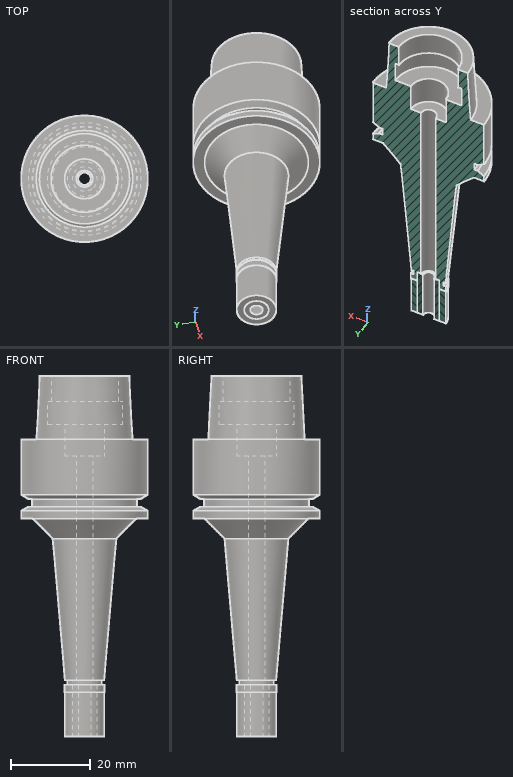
import cadquery as cq

OVERALL_LENGTH = 91.0

SHANK_LENGTH = 16.0
SHANK_ROOT_RADIUS = 12.2
SHANK_TOP_RADIUS = 11.4

FLANGE_RADIUS = 16.0
FLANGE_HEIGHT = 20.0
GROOVE_CENTRE_Z = -16.0
GROOVE_MOUTH_WIDTH = 4.1
GROOVE_FLOOR_WIDTH = 1.9
GROOVE_LIP_RADIUS = 14.2
GROOVE_FLOOR_RADIUS = 13.3

SHOULDER_HEIGHT = 5.0
NECK_TOP_RADIUS = 8.1
NECK_END_RADIUS = 5.0
NECK_END_Z = -60.8
SHOULDER_TOP_RADIUS = NECK_TOP_RADIUS + SHOULDER_HEIGHT

RELIEF_RADIUS = 4.4
RELIEF_WIDTH = 1.1
COLLAR_RADIUS = 5.1
COLLAR_WIDTH = 1.9
COLLAR_TOP_Z = NECK_END_Z - RELIEF_WIDTH

NUT_RADIUS = 5.0
NUT_TOP_Z = COLLAR_TOP_Z - COLLAR_WIDTH
TIP_Z = SHANK_LENGTH - OVERALL_LENGTH

MOUTH_RADIUS = 8.5
MOUTH_DEPTH = 6.5
CHAMBER_RADIUS = 9.5
CHAMBER_DEPTH = 5.7
COUPLING_RADIUS = 5.0
COUPLING_DEPTH = 8.0
COOLANT_RADIUS = 2.1

COLLET_RADIUS = 3.1
COLLET_BORE_RADIUS = 1.55
COLLET_TOP_Z = NECK_END_Z


def cylinder(radius, bottom_z, top_z):
    """Solid cylinder on the Z axis."""
    return cq.Workplane("XY").workplane(offset=bottom_z).circle(radius).extrude(top_z - bottom_z)


def tube(outer_radius, inner_radius, bottom_z, top_z):
    """Hollow cylinder on the Z axis."""
    return cylinder(outer_radius, bottom_z, top_z).cut(cylinder(inner_radius, bottom_z, top_z))


def make_holder_blank():
    """Turned outside of the holder, from the shank top to the nut."""
    mouth_half = GROOVE_MOUTH_WIDTH / 2
    floor_half = GROOVE_FLOOR_WIDTH / 2
    outline = [
        (0, SHANK_LENGTH),
        (SHANK_TOP_RADIUS, SHANK_LENGTH),
        (SHANK_ROOT_RADIUS, 0),
        (FLANGE_RADIUS, 0),
        (FLANGE_RADIUS, GROOVE_CENTRE_Z + mouth_half),
        (GROOVE_LIP_RADIUS, GROOVE_CENTRE_Z + floor_half),
        (GROOVE_FLOOR_RADIUS, GROOVE_CENTRE_Z + floor_half),
        (GROOVE_FLOOR_RADIUS, GROOVE_CENTRE_Z - floor_half),
        (GROOVE_LIP_RADIUS, GROOVE_CENTRE_Z - floor_half),
        (FLANGE_RADIUS, GROOVE_CENTRE_Z - mouth_half),
        (FLANGE_RADIUS, -FLANGE_HEIGHT),
        (SHOULDER_TOP_RADIUS, -FLANGE_HEIGHT),
        (NECK_TOP_RADIUS, -FLANGE_HEIGHT - SHOULDER_HEIGHT),
        (NECK_END_RADIUS, NECK_END_Z),
        (RELIEF_RADIUS, NECK_END_Z),
        (RELIEF_RADIUS, COLLAR_TOP_Z),
        (COLLAR_RADIUS, COLLAR_TOP_Z),
        (COLLAR_RADIUS, NUT_TOP_Z),
        (0, NUT_TOP_Z),
    ]
    return cq.Workplane("YZ").polyline(outline).close().revolve(360, (0, 0), (0, 1))


def make_holder():
    """Holder blank with its stepped bore and the seat for the collet."""
    mouth_floor_z = SHANK_LENGTH - MOUTH_DEPTH
    chamber_floor_z = mouth_floor_z - CHAMBER_DEPTH
    coupling_floor_z = chamber_floor_z - COUPLING_DEPTH
    bore_steps = [
        (MOUTH_RADIUS, mouth_floor_z, SHANK_LENGTH),
        (CHAMBER_RADIUS, chamber_floor_z, mouth_floor_z),
        (COUPLING_RADIUS, coupling_floor_z, chamber_floor_z),
        (COOLANT_RADIUS, COLLET_TOP_Z, coupling_floor_z),
        (COLLET_RADIUS, NUT_TOP_Z, COLLET_TOP_Z),
    ]
    holder = make_holder_blank()
    for radius, bottom_z, top_z in bore_steps:
        holder = holder.cut(cylinder(radius, bottom_z, top_z))
    return holder


def make_nut():
    """Plain ring that continues the collar and surrounds the collet."""
    return tube(NUT_RADIUS, COLLET_RADIUS, TIP_Z, NUT_TOP_Z)


def make_collet():
    """Sleeve seated in the holder and the nut, open from end to end."""
    return tube(COLLET_RADIUS, COLLET_BORE_RADIUS, TIP_Z, COLLET_TOP_Z)


holder = make_holder()
nut = make_nut()
collet = make_collet()
result = cq.Compound.makeCompound([holder.val(), nut.val(), collet.val()])